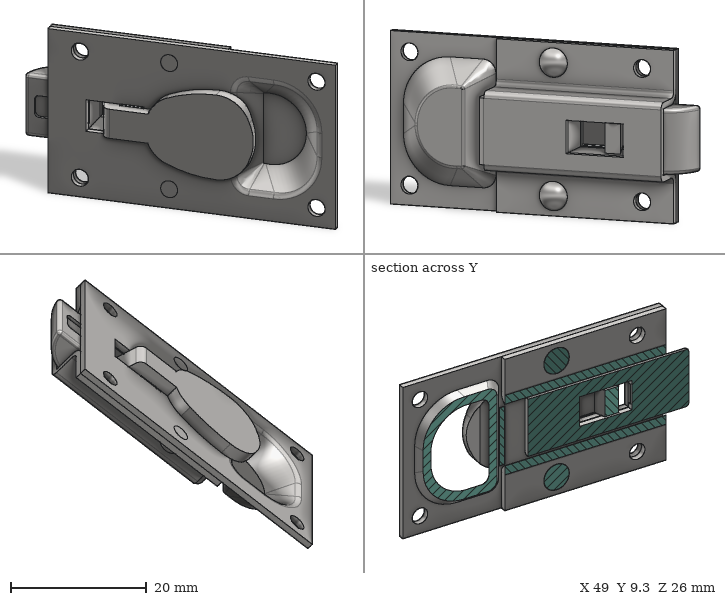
import cadquery as cq
import math


overall_length = 49.0
sheet = 1.0
plate_length = 45.0
plate_height = 26.0
hole_diameter = 2.65
fastener_z = 10.0
screw_xs = (5.0, 42.0)
rivet_x = 18.95

slot_left = 6.0
slot_right = 15.0
slot_height = 5.0

opening_sizes = (29.1, 42.3, 8.85, 2.2, 6.7, 35.55)
floor_sizes = (32.35, 39.05, 5.6, 0.15, 5.55, 32.7)
floor_depth = 3.9
dish_lip_radius = 1.2

root_sizes = (28.35, 42.9, 9.65, 2.0, 7.35, 35.55)
back_sizes = (31.95, 39.45, 6.1, 0.4, 6.0, 32.85)
dish_depth = 5.2
dish_back_radius = 0.6

cover_length = 27.95
cover_back = 7.3
cover_half_width = 6.0
bend_radius = 1.0
tab_edge_radius = 0.95
flange_back = 2 * sheet
inside_back = cover_back - sheet
inside_half_width = cover_half_width - sheet

bolt_reach = overall_length - plate_length
bolt_travel = bolt_reach
bolt_front = 1.15
bolt_half_width = 4.95
bolt_nose_radius = 5.55
bolt_nose_center_y = inside_back - bolt_nose_radius
bolt_edge_radius = 0.6
bolt_pocket_left = -2.5
bolt_pocket_height = 3.45
bolt_pocket_depth = 0.5
bolt_pocket_radius = 0.8

rivet_head_radius = 2.2
rivet_head_height = 1.6

handle_front = -2.0
shank_half_width = 2.3
shank_end_x = 16.3
shoulder_point = (19.0, 5.1)
shoulder_middle = (17.5, 4.05)
crown_point = (27.0, 6.7)
tip_corner = (32.2, 2.95)
tip_x = 32.85
taper_start_x = 31.0
taper_depth = 0.95
leg_root_x = 8.75
leg_slope = 0.31
leg_end_y = 5.9
leg_thickness = 2.45
heel_radius = 1.3


def plane_at(y):
    """Workplane across the latch at depth y, with local x along X and local y along Z."""
    return cq.Workplane("XZ", origin=(0, y, 0))


def corner_inset(radius):
    """Distance from either side of a right-angled corner to the middle of its rounding arc."""
    return radius * (1 - math.sqrt(0.5))


def block(left, right, front, back, height):
    """Rectangular block centred on the Z centre line."""
    center = ((left + right) / 2, (front + back) / 2, 0)
    return cq.Workplane("XY").box(right - left, back - front, height).translate(center)


def fastener_holes(xs):
    """Round cutters through both sheets, above and below the centre line at each x."""
    points = [(x, z) for x in xs for z in (-fastener_z, fastener_z)]
    return plane_at(flange_back).pushPoints(points).circle(hole_diameter / 2).extrude(flange_back)


def leg_slot(front, back):
    """Cutter for the window that the handle leg passes through."""
    return block(slot_left, slot_right, front, back, slot_height)


def dish_outline(y, left, right, half_height, left_radius, right_radius, right_arc_x):
    """Rectangle with small left corners and large right corners, as a wire at depth y."""
    left_inset = corner_inset(left_radius)
    right_inset = corner_inset(right_radius)
    return (
        plane_at(y)
        .moveTo(left + left_radius, half_height)
        .lineTo(right_arc_x, half_height)
        .threePointArc((right - right_inset, half_height - right_inset), (right, half_height - right_radius))
        .lineTo(right, right_radius - half_height)
        .threePointArc((right - right_inset, right_inset - half_height), (right_arc_x, -half_height))
        .lineTo(left + left_radius, -half_height)
        .threePointArc((left + left_inset, left_inset - half_height), (left, left_radius - half_height))
        .lineTo(left, half_height - left_radius)
        .threePointArc((left + left_inset, half_height - left_inset), (left + left_radius, half_height))
        .wire()
        .val()
    )


def dish_body(front, front_sizes, back, end_sizes):
    """Ruled solid from the outline at depth front to the outline at depth back."""
    outlines = [dish_outline(front, *front_sizes), dish_outline(back, *end_sizes)]
    return cq.Workplane(cq.Solid.makeLoft(outlines, True))


def make_plate():
    plate = block(0, plate_length, 0, sheet, plate_height)
    shell = dish_body(sheet, root_sizes, dish_depth, back_sizes)
    shell = shell.faces(">Y").edges().fillet(dish_back_radius)
    hollow = dish_body(0, opening_sizes, floor_depth, floor_sizes)
    plate = plate.union(shell).cut(hollow)
    lip = plate.faces("<Y").val().innerWires()[0]
    plate = plate.newObject(lip.Edges()).fillet(dish_lip_radius)
    plate = plate.cut(leg_slot(0, sheet))
    return plate.cut(fastener_holes((*screw_xs, rivet_x)))


def make_cover():
    foot_z = plate_height / 2
    bend_middle = corner_inset(bend_radius)
    root_radius = bend_radius + sheet
    root_middle = corner_inset(root_radius)
    half_section = (
        cq.Workplane("YZ")
        .moveTo(sheet, foot_z)
        .lineTo(flange_back, foot_z)
        .lineTo(flange_back, cover_half_width + bend_radius)
        .threePointArc(
            (flange_back + bend_middle, cover_half_width + bend_middle),
            (flange_back + bend_radius, cover_half_width),
        )
        .lineTo(cover_back - bend_radius, cover_half_width)
        .threePointArc(
            (cover_back - bend_middle, cover_half_width - bend_middle),
            (cover_back, cover_half_width - bend_radius),
        )
        .lineTo(cover_back, 0)
        .lineTo(inside_back, 0)
        .lineTo(inside_back, inside_half_width)
        .lineTo(sheet + root_radius, inside_half_width)
        .threePointArc(
            (sheet + root_middle, inside_half_width + root_middle),
            (sheet, inside_half_width + root_radius),
        )
        .close()
        .extrude(cover_length)
    )
    cover = half_section.union(half_section.mirror("XY"))

    end_tab = block(cover_length, cover_length + sheet, flange_back, cover_back, 2 * inside_half_width)
    end_tab = end_tab.edges(">X and >Y").fillet(tab_edge_radius)
    cover = cover.union(end_tab)
    cover = cover.cut(leg_slot(inside_back, cover_back))
    return cover.cut(fastener_holes((screw_xs[0], rivet_x)))


def make_bolt():
    tail_x = cover_length - bolt_travel
    tip_rise = bolt_front + bolt_edge_radius - bolt_nose_center_y
    tip_to_center = math.sqrt((bolt_nose_radius - bolt_edge_radius) ** 2 - tip_rise**2)
    nose_center_x = bolt_edge_radius - bolt_reach + tip_to_center
    sharp_tip_x = nose_center_x - math.sqrt(bolt_nose_radius**2 - (bolt_front - bolt_nose_center_y) ** 2)
    arc_x = nose_center_x - bolt_nose_radius * math.sqrt(0.5)
    arc_y = bolt_nose_center_y + bolt_nose_radius * math.sqrt(0.5)
    bolt = (
        cq.Workplane("XY", origin=(0, 0, -bolt_half_width))
        .moveTo(sharp_tip_x, bolt_front)
        .threePointArc((arc_x, arc_y), (nose_center_x, inside_back))
        .lineTo(tail_x, inside_back)
        .lineTo(tail_x, bolt_front)
        .close()
        .extrude(2 * bolt_half_width)
    )
    bolt = bolt.edges("not(>X)").fillet(bolt_edge_radius)
    pocket = block(
        bolt_pocket_left, slot_left, bolt_front, bolt_front + bolt_pocket_depth, bolt_pocket_height
    )
    pocket = pocket.edges("<X and |Y").fillet(bolt_pocket_radius)
    return bolt.cut(pocket).cut(leg_slot(bolt_front, inside_back))


def make_rivet(z):
    shank = cq.Workplane("XZ").circle(hole_diameter / 2).extrude(-flange_back)
    sphere_radius = (rivet_head_radius**2 + rivet_head_height**2) / (2 * rivet_head_height)
    ball = cq.Workplane("XY").sphere(sphere_radius)
    ball = ball.translate((0, flange_back + rivet_head_height - sphere_radius, 0))
    behind_flange = cq.Workplane("XZ", origin=(0, flange_back, 0)).circle(2 * sphere_radius)
    head = ball.intersect(behind_flange.extrude(-2 * sphere_radius))
    return shank.union(head).translate((rivet_x, 0, z))


def mirrored(point):
    """The point reflected across the centre line."""
    return (point[0], -point[1])


def crown_arc_middle(end):
    """Middle of the arc from the crown, where it runs along X, to the end point."""
    run = end[0] - crown_point[0]
    drop = crown_point[1] - end[1]
    radius = (run**2 + drop**2) / (2 * drop)
    half_angle = math.atan2(drop, abs(run))
    x = crown_point[0] + math.copysign(radius * math.sin(half_angle), run)
    return (x, crown_point[1] - radius * (1 - math.cos(half_angle)))


def make_paddle():
    """Egg-shaped finger pull, tapered underneath at its tip."""
    crown_middle = crown_arc_middle(shoulder_point)
    tip_corner_middle = crown_arc_middle(tip_corner)
    paddle_left = (leg_root_x + shank_end_x) / 2

    paddle = (
        plane_at(0)
        .moveTo(paddle_left, shank_half_width)
        .lineTo(shank_end_x, shank_half_width)
        .threePointArc(shoulder_middle, shoulder_point)
        .threePointArc(crown_middle, crown_point)
        .threePointArc(tip_corner_middle, tip_corner)
        .threePointArc((tip_x, 0), mirrored(tip_corner))
        .threePointArc(mirrored(tip_corner_middle), mirrored(crown_point))
        .threePointArc(mirrored(crown_middle), mirrored(shoulder_point))
        .threePointArc(mirrored(shoulder_middle), (shank_end_x, -shank_half_width))
        .lineTo(paddle_left, -shank_half_width)
        .close()
        .extrude(-handle_front)
    )
    taper = (
        cq.Workplane("XY", origin=(0, 0, -crown_point[1]))
        .moveTo(taper_start_x, 0)
        .lineTo(tip_x, -taper_depth)
        .lineTo(tip_x, 0)
        .close()
        .extrude(2 * crown_point[1])
    )
    return paddle.cut(taper)


def make_leg():
    """Shank of the handle, bent at the heel into the leg that drives the bolt."""
    heel_x = leg_root_x - leg_slope * handle_front
    leg_end_x = leg_root_x - leg_slope * leg_end_y
    leg = (
        cq.Workplane("XY", origin=(0, 0, -shank_half_width))
        .moveTo(heel_x, handle_front)
        .lineTo(leg_end_x, leg_end_y)
        .lineTo(leg_end_x + leg_thickness, leg_end_y)
        .lineTo(leg_root_x + leg_thickness, 0)
        .lineTo(shank_end_x, 0)
        .lineTo(shank_end_x, handle_front)
        .close()
        .extrude(2 * shank_half_width)
    )
    return leg.edges("|Z").edges("<Y").edges("<X").fillet(heel_radius)


def make_handle():
    return make_paddle().union(make_leg())


plate = make_plate()
cover = make_cover()
bolt = make_bolt()
rivets = [make_rivet(z) for z in (-fastener_z, fastener_z)]
handle = make_handle()
result = cq.Compound.makeCompound(
    [plate.val(), cover.val(), bolt.val(), handle.val(), *[rivet.val() for rivet in rivets]]
)